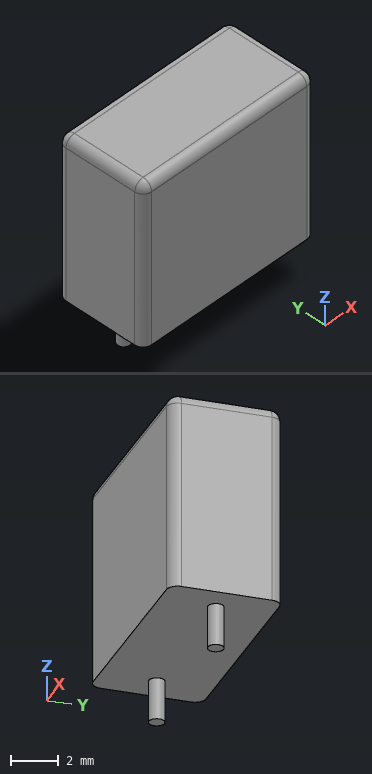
import cadquery as cq

body_length = 10.3
body_width = 5.0
body_height = 9.0
edge_radius = 0.5

lead_diameter = 0.7
lead_length = 1.9
lead_pitch = 7.5


def make_case():
    """Case with rounded upright and top edges and a flat, sharp-edged underside."""
    block = cq.Workplane("XY").box(body_length, body_width, body_height, centered=(True, True, False))
    return block.edges("|Z or >Z").fillet(edge_radius)


def make_leads():
    """Two straight round leads hanging from the underside."""
    return (
        cq.Workplane("XY")
        .pushPoints([(-lead_pitch / 2, 0), (lead_pitch / 2, 0)])
        .circle(lead_diameter / 2)
        .extrude(-lead_length)
    )


result = make_case().union(make_leads())